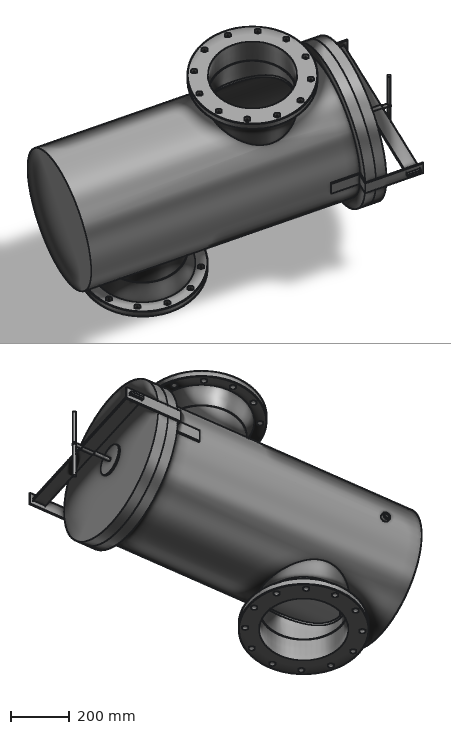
import cadquery as cq

shell_radius = 258.5
shell_wall = 8.0
shell_inner_radius = shell_radius - shell_wall
end_plate_thickness = 10.0

cover_flange_radius = 300.0
body_flange_back = 1011.0
body_flange_thickness = 40.0
cover_thickness = 40.0
joint_y = body_flange_back + body_flange_thickness
cover_face = joint_y + cover_thickness
pad_radius = 57.0
pad_thickness = 6.0
pad_face = cover_face + pad_thickness

inlet_y = 726.0
outlet_y = 313.0
pipe_radius = 155.0
bore_radius = 152.0
nozzle_face = 400.0
nozzle_flange_radius = 222.5
nozzle_flange_thickness = 28.0
nozzle_flange_chamfer = 2.0
neck_length = 100.0
neck_top_radius = 180.0
neck_end = nozzle_face - neck_length
bolt_count = 12
bolt_circle_radius = 200.0
bolt_hole_diameter = 22.0

drain_y = 151.0
drain_radius = 15.0
drain_bore_radius = 8.5
drain_end = 273.0

arm_thickness = 5.0
arm_width = 50.0
arm_outer_x = 310.0
arm_end_y = 1225.0
arm_foot_y = 900.0

bar_length = 637.0
bar_width = 50.0
bar_thickness = 10.0
bar_end_y = 1212.0
bar_start_y = bar_end_y - bar_width
bushing_radius = 10.0

screw_radius = 6.5
handle_radius = 6.0
handle_length = 300.0
overall_length = 1245.0
handle_y = overall_length - handle_radius
screw_end_inset = 1.0
screw_end_y = overall_length - screw_end_inset


def cylinder_y(radius, start, end):
    """Solid cylinder on the Y axis between two Y positions."""
    return cq.Workplane("XZ", origin=(0, start, 0)).circle(radius).extrude(start - end)


def cylinder_z(radius, y, start, end):
    """Solid cylinder parallel to Z between two heights."""
    return cq.Workplane("XY", origin=(0, y, start)).circle(radius).extrude(end - start)


def cylinder_drain(radius, inner_x):
    """Solid cylinder parallel to X, from the drain end inwards."""
    plane = cq.Workplane("YZ", origin=(-drain_end, drain_y, 0))
    return plane.circle(radius).extrude(drain_end - inner_x)


def make_vessel():
    """Shell, body flange, two pipe stubs and drain coupling, welded into one."""
    vessel = cylinder_y(shell_radius, 0, joint_y)
    vessel = vessel.union(cylinder_y(cover_flange_radius, body_flange_back, joint_y))
    vessel = vessel.union(cylinder_z(pipe_radius, inlet_y, 0, neck_end))
    vessel = vessel.union(cylinder_z(pipe_radius, outlet_y, -neck_end, 0))
    vessel = vessel.union(cylinder_drain(drain_radius, 0))
    vessel = vessel.cut(cylinder_y(shell_inner_radius, end_plate_thickness, joint_y))
    vessel = vessel.cut(cylinder_z(bore_radius, inlet_y, 0, neck_end))
    vessel = vessel.cut(cylinder_z(bore_radius, outlet_y, -neck_end, 0))
    return vessel.cut(cylinder_drain(drain_bore_radius, 0))


def make_cover():
    """Flat round cover with a pad under the screw."""
    cover = cylinder_y(cover_flange_radius, joint_y, cover_face)
    return cover.union(cylinder_y(pad_radius, cover_face, pad_face))


def make_nozzle_flange():
    """Weld-neck flange on the Z axis, with its face up."""
    flange_back = nozzle_face - nozzle_flange_thickness
    flange = (
        cylinder_z(nozzle_flange_radius, 0, flange_back, nozzle_face)
        .edges()
        .chamfer(nozzle_flange_chamfer)
    )
    neck = (
        cq.Workplane("XZ")
        .moveTo(0, neck_end)
        .lineTo(pipe_radius, neck_end)
        .lineTo(neck_top_radius, flange_back)
        .lineTo(0, flange_back)
        .close()
        .revolve(360, (0, 0), (0, 1))
    )
    bolt_holes = (
        cq.Workplane("XY", origin=(0, 0, flange_back))
        .polarArray(bolt_circle_radius, 0, 360, bolt_count)
        .circle(bolt_hole_diameter / 2)
        .extrude(nozzle_flange_thickness)
    )
    bore = cylinder_z(bore_radius, 0, neck_end, nozzle_face)
    return flange.union(neck).cut(bore).cut(bolt_holes)


def make_bar_blank():
    """Full-length rectangular bar, also the shape of the arm slots."""
    middle_y = (bar_start_y + bar_end_y) / 2
    return cq.Workplane("XY").box(bar_length, bar_width, bar_thickness).translate((0, middle_y, 0))


def make_arm():
    """Cranked strap on the +X side: foot on the shell, step behind the flange, slotted arm."""
    step_y = body_flange_back - arm_thickness
    foot_outer_x = shell_radius + arm_thickness
    arm_inner_x = arm_outer_x - arm_thickness
    strap = (
        cq.Workplane("XY", origin=(0, 0, -arm_width / 2))
        .moveTo(0, arm_foot_y)
        .lineTo(foot_outer_x, arm_foot_y)
        .lineTo(foot_outer_x, step_y)
        .lineTo(arm_outer_x, step_y)
        .lineTo(arm_outer_x, arm_end_y)
        .lineTo(arm_inner_x, arm_end_y)
        .lineTo(arm_inner_x, body_flange_back)
        .lineTo(0, body_flange_back)
        .close()
        .extrude(arm_width)
    )
    return strap.cut(cylinder_y(shell_radius, 0, joint_y)).cut(make_bar_blank())


def make_crossbar():
    """Flat bar with a bushing that guides the screw."""
    bar = make_bar_blank().union(cylinder_y(bushing_radius, bar_start_y, bar_end_y))
    return bar.cut(cylinder_y(screw_radius, bar_start_y, bar_end_y))


def make_screw():
    """Clamping screw resting on the pad, with a round handle across its end."""
    screw = cylinder_y(screw_radius, pad_face, screw_end_y)
    return screw.union(cylinder_z(handle_radius, handle_y, -handle_length / 2, handle_length / 2))


vessel = make_vessel()
cover = make_cover()
nozzle_flange = make_nozzle_flange()
inlet_flange = nozzle_flange.translate((0, inlet_y, 0))
outlet_flange = nozzle_flange.mirror("XY").translate((0, outlet_y, 0))
right_arm = make_arm()
left_arm = right_arm.mirror("YZ")
crossbar = make_crossbar()
screw = make_screw()

bodies = [vessel, cover, inlet_flange, outlet_flange, right_arm, left_arm, crossbar, screw]
result = cq.Compound.makeCompound([body.val() for body in bodies])